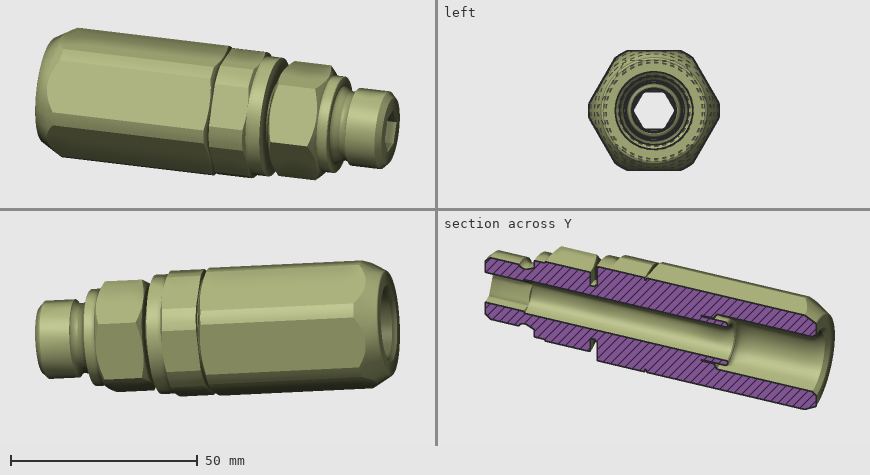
import cadquery as cq
import math


groove_start = 48.95
collar_hex_start = 49.2
collar_hex_end = 59.1
collar_end = 63.0
neck_step = 63.5
nut_start = 64.8
nut_end = 78.0
washer_end = 81.0
undercut_start = 83.3
undercut_end = 83.7
thread_start = 85.4
total_length = 95.05

sleeve_flats = 32.0
sleeve_corner_radius = 17.5
collar_corner_radius = 17.0
nut_flats = 27.0
nut_corner_radius = nut_flats / 2 / math.cos(math.radians(30))

sleeve_face_radius = 14.1
sleeve_face_fillet = 0.7
groove_radius = 15.2
collar_radius = sleeve_flats / 2
neck_step_radius = 9.6
neck_radius = 9.0
washer_radius = 13.0
washer_chamfer = 0.2
thread_diameter = 21.0
thread_radius = thread_diameter / 2
undercut_diameter = 18.7
undercut_radius = undercut_diameter / 2
thread_chamfer = 1.5

lead_slope = math.tan(math.radians(30))
sleeve_end_slope = math.tan(math.radians(65))
corner_slope = math.tan(math.radians(60))
nut_end_slope = math.tan(math.radians(55))

socket_radius = 9.2
socket_mouth_chamfer = 1.1
socket_depth = 28.5
floor_radius = 8.1
floor_slope = math.tan(math.radians(60))
clearance_radius = 7.6
tip_radius = 7.4
tip_length = 3.8
tip_root_depth = 3.8
tip_fillet = 1.0

bore_radius = 5.6
bore_mouth_chamfer = 0.33
key_flats = 10.0
key_depth = 11.4

floor_position = socket_depth + (socket_radius - floor_radius) / floor_slope
tip_start = floor_position - tip_length
tip_root = floor_position + tip_root_depth


def turned(points):
    """Turn a solid bounded by the given (x, radius) points and the X axis."""
    axis_start = (points[0][0], 0)
    axis_end = (points[-1][0], 0)
    outline = cq.Workplane("XY").polyline([axis_start, *points, axis_end]).close()
    return outline.revolve(360, (0, 0, 0), (1, 0, 0))


def hex_prism(start, end, across_flats):
    """Hexagonal bar along X between two positions."""
    across_corners = across_flats / math.cos(math.radians(30))
    return cq.Workplane("YZ", origin=(start, 0, 0)).polygon(6, across_corners).extrude(end - start)


def make_sleeve():
    """Long hex sleeve with a conical hose end and turned-off corners."""
    cone_end = (sleeve_corner_radius - sleeve_face_radius) / lead_slope
    chamfer_start = groove_start - (sleeve_corner_radius - groove_radius) / sleeve_end_slope
    envelope = turned([
        (0, sleeve_face_radius),
        (cone_end, sleeve_corner_radius),
        (chamfer_start, sleeve_corner_radius),
        (groove_start, groove_radius),
    ])
    envelope = envelope.faces("<X").edges().fillet(sleeve_face_fillet)
    return envelope.intersect(hex_prism(0, groove_start, sleeve_flats))


def make_collar_hex():
    """Short hex next to the groove, chamfered toward the round collar."""
    chamfer_length = (collar_corner_radius - collar_radius) / corner_slope
    envelope = turned([
        (collar_hex_start, collar_corner_radius),
        (collar_hex_end - chamfer_length, collar_corner_radius),
        (collar_hex_end, collar_radius),
    ])
    return envelope.intersect(hex_prism(collar_hex_start, collar_hex_end, sleeve_flats))


def make_nut():
    """Union nut with sharp corners, chamfered at both ends."""
    start_chamfer = (nut_corner_radius - nut_flats / 2) / corner_slope
    end_chamfer = (nut_corner_radius - washer_radius) / nut_end_slope
    envelope = turned([
        (nut_start, nut_flats / 2),
        (nut_start + start_chamfer, nut_corner_radius),
        (nut_end - end_chamfer, nut_corner_radius),
        (nut_end, washer_radius),
    ])
    return envelope.intersect(hex_prism(nut_start, nut_end, nut_flats))


def make_round_core():
    """Groove floor, collar, stepped neck, washer and undercut root."""
    return turned([
        (groove_start, groove_radius),
        (collar_hex_end, groove_radius),
        (collar_hex_end, collar_radius),
        (collar_end, collar_radius),
        (collar_end, neck_step_radius),
        (neck_step, neck_step_radius),
        (neck_step, neck_radius),
        (nut_end, neck_radius),
        (nut_end, washer_radius),
        (washer_end - washer_chamfer, washer_radius),
        (washer_end, washer_radius - washer_chamfer),
        (washer_end, thread_radius),
        (undercut_start, undercut_radius),
        (undercut_end, undercut_radius),
    ])


def make_spigot():
    """Threaded spigot; a concave arc leads from the undercut up to the thread."""
    arc_rise = thread_radius - undercut_radius
    arc_run = thread_start - undercut_end
    arc_radius = (arc_rise**2 + arc_run**2) / (2 * arc_rise)
    outline = (
        cq.Workplane("XY")
        .moveTo(undercut_end, 0)
        .lineTo(undercut_end, undercut_radius)
        .radiusArc((thread_start, thread_radius), -arc_radius)
        .lineTo(total_length - thread_chamfer, thread_radius)
        .lineTo(total_length, thread_radius - thread_chamfer)
        .lineTo(total_length, 0)
        .close()
    )
    return outline.revolve(360, (0, 0, 0), (1, 0, 0))


def make_socket():
    """Hose socket cavity: chamfered mouth, straight wall and conical floor edge."""
    return turned([
        (0, socket_radius + socket_mouth_chamfer),
        (socket_mouth_chamfer, socket_radius),
        (socket_depth, socket_radius),
        (floor_position, floor_radius),
        (floor_position, clearance_radius),
        (tip_root, clearance_radius),
    ])


def make_tip():
    """Rounded tube tip, rooted at the bottom of its clearance ring."""
    tip = turned([(tip_start, tip_radius), (tip_root, tip_radius)])
    return tip.faces("<X").edges().fillet(tip_fillet)


def make_passage():
    """Round bore with a chamfered mouth and conical end, opening into the hex key socket."""
    key_start = total_length - key_depth
    bore_end = key_start + (bore_radius - key_flats / 2) / floor_slope
    bore = turned([
        (tip_start, bore_radius + bore_mouth_chamfer),
        (tip_start + bore_mouth_chamfer, bore_radius),
        (key_start, bore_radius),
        (bore_end, key_flats / 2),
    ])
    return bore.union(hex_prism(key_start, total_length, key_flats))


body = make_sleeve().union(make_round_core()).union(make_spigot())
body = body.union(make_collar_hex()).union(make_nut())
result = body.cut(make_socket()).union(make_tip()).cut(make_passage())